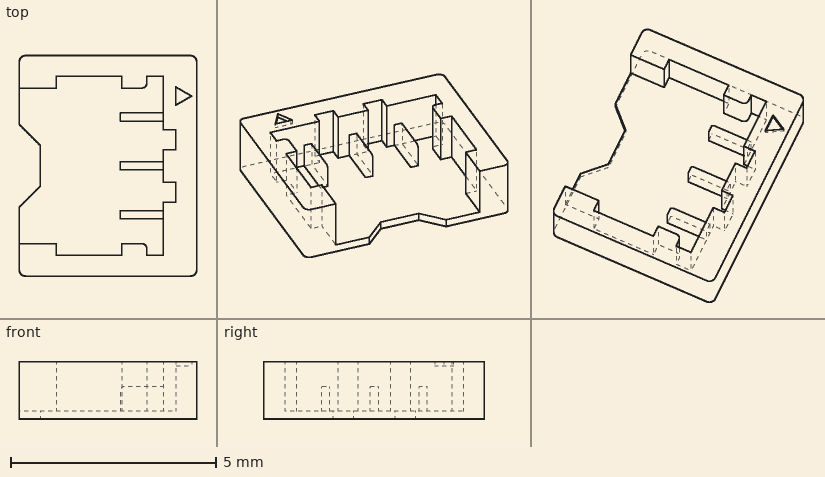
import cadquery as cq

HOUSING_LENGTH = 4.33
HOUSING_WIDTH = 5.38
HOUSING_HEIGHT = 1.4
CORNER_RADIUS = 0.16
FLOOR_THICKNESS = 0.2

FRONT_X = -HOUSING_LENGTH / 2
CAVITY_DEPTH = HOUSING_HEIGHT - FLOOR_THICKNESS

MOUTH_WIDTH = 3.79
POCKET_WIDTH = 4.36
LIP_END_X = FRONT_X + 0.9
RIB_START_X = FRONT_X + 2.5
RIB_END_X = FRONT_X + 3.11
BACK_WALL_X = FRONT_X + 3.51
RIB_CORNER_RADIUS = 0.12

RELIEF_DEPTH = 0.3
RELIEF_WIDTH = 0.49
RELIEF_PITCH = 1.28

CUTOUT_DEPTH = 0.51
CUTOUT_OUTER_WIDTH = 2.02
CUTOUT_INNER_WIDTH = CUTOUT_OUTER_WIDTH - 2 * CUTOUT_DEPTH

MARK_BASE_X = BACK_WALL_X + RELIEF_DEPTH
MARK_LENGTH = 0.39
MARK_WIDTH = 0.45
MARK_Y = 1.7
MARK_DEPTH = 0.1

CONTACT_COUNT = 3
CONTACT_PITCH = 1.19
CONTACT_THICKNESS = 0.2
CONTACT_LENGTH = 1.05
CONTACT_HEIGHT = 0.6
CONTACT_NOSE_RADIUS = 0.1
CONTACT_EDGE_RADIUS = 0.02


def block(x_start, x_end, width, height):
    """Box centred on Y = 0 that stands on the floor."""
    return (
        cq.Workplane("XY", origin=((x_start + x_end) / 2, 0, FLOOR_THICKNESS))
        .box(x_end - x_start, width, height, centered=(True, True, False))
    )


def make_cavity():
    """Wide pocket with narrowed mouth and ribs, plus the back wall reliefs."""
    mouth = block(FRONT_X, BACK_WALL_X, MOUTH_WIDTH, CAVITY_DEPTH)
    front_pocket = block(LIP_END_X, RIB_START_X, POCKET_WIDTH, CAVITY_DEPTH)
    rear_pocket = block(RIB_END_X, BACK_WALL_X, POCKET_WIDTH, CAVITY_DEPTH)
    cavity = mouth.union(front_pocket).union(rear_pocket)

    for side in (-1, 1):
        rib_corner = (RIB_END_X, side * MOUTH_WIDTH / 2, FLOOR_THICKNESS + CAVITY_DEPTH / 2)
        cavity = cavity.edges(cq.NearestToPointSelector(rib_corner)).fillet(RIB_CORNER_RADIUS)

    relief = block(BACK_WALL_X, BACK_WALL_X + RELIEF_DEPTH, RELIEF_WIDTH, CAVITY_DEPTH)
    for side in (-1, 1):
        cavity = cavity.union(relief.translate((0, side * RELIEF_PITCH / 2, 0)))
    return cavity


def make_floor_cutout():
    """Trapezoid through the floor, narrowing away from the front edge."""
    inner_x = FRONT_X + CUTOUT_DEPTH
    return (
        cq.Workplane("XY")
        .moveTo(FRONT_X, -CUTOUT_OUTER_WIDTH / 2)
        .lineTo(inner_x, -CUTOUT_INNER_WIDTH / 2)
        .lineTo(inner_x, CUTOUT_INNER_WIDTH / 2)
        .lineTo(FRONT_X, CUTOUT_OUTER_WIDTH / 2)
        .close()
        .extrude(FLOOR_THICKNESS)
    )


def make_pin_one_mark():
    """Triangle that points towards +X."""
    return (
        cq.Workplane("XY", origin=(MARK_BASE_X, MARK_Y, HOUSING_HEIGHT))
        .moveTo(0, -MARK_WIDTH / 2)
        .lineTo(MARK_LENGTH, 0)
        .lineTo(0, MARK_WIDTH / 2)
        .close()
        .extrude(-MARK_DEPTH)
    )


def make_housing():
    body = (
        cq.Workplane("XY")
        .box(HOUSING_LENGTH, HOUSING_WIDTH, HOUSING_HEIGHT, centered=(True, True, False))
        .edges("|Z")
        .fillet(CORNER_RADIUS)
    )
    return body.cut(make_cavity()).cut(make_floor_cutout()).cut(make_pin_one_mark())


def make_contact(y):
    """Blade with a rounded nose and softened nose and top edges."""
    blade = block(BACK_WALL_X - CONTACT_LENGTH, BACK_WALL_X, CONTACT_THICKNESS, CONTACT_HEIGHT)
    blade = blade.edges("<X and >Z").fillet(CONTACT_NOSE_RADIUS)
    blade = blade.faces(">Z").edges("|X").fillet(CONTACT_EDGE_RADIUS)
    return blade.translate((0, y, 0))


housing = make_housing()

contacts = []
for index in range(CONTACT_COUNT):
    contact_y = (index - (CONTACT_COUNT - 1) / 2) * CONTACT_PITCH
    contacts.append(make_contact(contact_y))

result = cq.Compound.makeCompound([housing.val(), *[contact.val() for contact in contacts]])